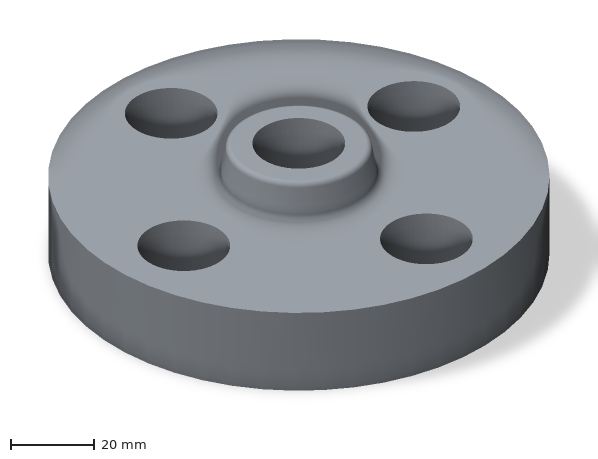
import cadquery as cq

flange_diameter = 120.6
flange_thickness = 22.3

bore_diameter = 22.3
bolt_hole_diameter = bore_diameter
bolt_circle_diameter = 82.6
bolt_hole_count = 4

total_height = 31.7
hub_height = total_height - flange_thickness
hub_base_diameter = 38.2
hub_top_diameter = 34.9
hub_fillet = 1.5


def make_flange():
    """Flat disc with its underside on Z = 0."""
    return cq.Workplane("XY").circle(flange_diameter / 2).extrude(flange_thickness)


def make_hub():
    """Solid cone that tapers from the flange face up to the top."""
    return (
        cq.Workplane("XY", origin=(0, 0, flange_thickness))
        .circle(hub_base_diameter / 2)
        .workplane(offset=hub_height)
        .circle(hub_top_diameter / 2)
        .loft()
    )


def round_hub(body):
    """Round the outer top edge of the hub and blend its root into the flange."""
    rounded = body.faces(">Z").edges().fillet(hub_fillet)
    root_edge = rounded.edges(cq.selectors.RadiusNthSelector(-2))
    return root_edge.fillet(hub_fillet)


def make_bore():
    """Cylinder that opens the centre of the part from top to bottom."""
    return cq.Workplane("XY").circle(bore_diameter / 2).extrude(total_height)


def make_bolt_holes():
    """Ring of cylinders through the flange, the first one on the +X axis."""
    return (
        cq.Workplane("XY")
        .polarArray(bolt_circle_diameter / 2, 0, 360, bolt_hole_count)
        .circle(bolt_hole_diameter / 2)
        .extrude(flange_thickness)
    )


blank = round_hub(make_flange().union(make_hub()))
result = blank.cut(make_bore()).cut(make_bolt_holes())